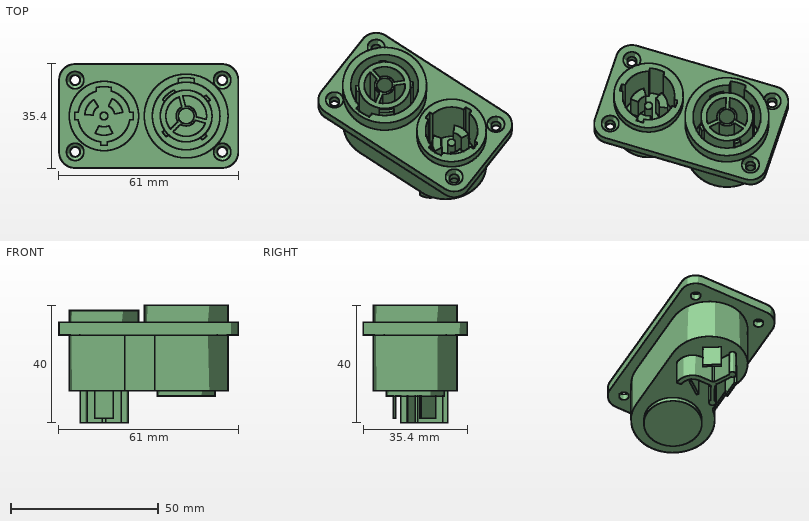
import cadquery as cq
import math

PLATE_LENGTH = 61.0
PLATE_WIDTH = 35.4
PLATE_THICKNESS = 4.4
PLATE_CORNER_R = 5.5
SCREW_DIA = 3.3
SCREW_HEAD_DIA = 5.9
SCREW_HEAD_ANGLE = 90.0

RIGHT_COLLAR_TOP = 5.74
OVERALL_HEIGHT = 40.0
LEFT_COLLAR_TOP = 4.0
BODY_BOTTOM = -23.35
SOCKET_FLOOR = -19.0
STUB_BOTTOM = -25.2
BLADE_BOTTOM = -32.75
STAR_BOTTOM = RIGHT_COLLAR_TOP - OVERALL_HEIGHT

BODY_LENGTH = 54.0
BODY_WEB_DEPTH = 9.5

LEFT_R = 11.8
LEFT_X = LEFT_R - BODY_LENGTH / 2
LEFT_BORE_R = 8.85
LEFT_NOTCH_R = 10.0
LEFT_NOTCHES = ((0, 2.5), (90, 5.1), (180, 2.5), (270, 2.3))
CONTACT_ANGLES = (-90.0, 38.0, 148.6)
CONTACT_INNER_R = 3.7
CONTACT_OUTER_R = 6.53
CONTACT_SPAN = 54.0
CENTRE_POST_R = 1.32
CONTACT_TOP = -5.5

BLADE_INNER_R = 6.6
BLADE_THICKNESS = 0.8
BLADE_WIDTH = 6.3
STAR_HUB_R = 1.2
STAR_RIB_THICKNESS = 1.3
STAR_POST_R = 1.2
STAR_ARMS = ((208.5, 7.87), (332.0, 8.0))
HOOK_WALL = 1.7
HOOK_OUTER_R = 6.2
HOOK_STRAIGHT = 4.9

RIGHT_R = 14.25
RIGHT_X = BODY_LENGTH / 2 - RIGHT_R
RIGHT_BORE_R = 11.5
RIGHT_NOTCH_R = 13.0
RIGHT_NOTCH_ANGLE = 90.0
RIGHT_NOTCH_WIDTH = 5.4
RIGHT_NOTCH_FLOOR = -10.0
PLUG_R = 8.8
PLUG_INNER_R = 6.93
PLUG_HUB_R = 3.4
PLUG_HUB_BORE_R = 2.68
SPOKE_ANGLES = (105.0, 225.0, 345.0)
SPOKE_THICKNESS = 1.25
KEY_R = 9.75
KEY_TOP = 4.6
KEYS = ((40, 2.1), (130, 5.0), (220, 2.1), (310, 2.1))
STUB_R = 9.87


def cylinder(x, radius, z_low, z_high):
    """Upright cylinder on the X axis."""
    return cq.Workplane("XY", origin=(x, 0, z_low)).circle(radius).extrude(z_high - z_low)


def tube(x, outer_r, inner_r, z_low, z_high):
    """Upright tube on the X axis."""
    return cylinder(x, outer_r, z_low, z_high).cut(cylinder(x, inner_r, z_low, z_high))


def radial_bar(x, angle, r_start, r_end, width, z_low, z_high):
    """Straight bar pointing away from the axis at x, in the given direction."""
    bar = (
        cq.Workplane("XY", origin=(0, 0, z_low))
        .center((r_start + r_end) / 2, 0)
        .rect(r_end - r_start, width)
        .extrude(z_high - z_low)
    )
    return bar.rotate((0, 0, 0), (0, 0, 1), angle).translate((x, 0, 0))


def round_ended_bar(x, angle, r_end, width, z_low, z_high):
    """Radial bar whose outer end follows a circle about the axis at x."""
    bar = radial_bar(x, angle, 0, r_end + width, width, z_low, z_high)
    return bar.intersect(cylinder(x, r_end, z_low, z_high))


def polar(radius, angle):
    """Point at the given radius and direction in degrees."""
    a = math.radians(angle)
    return (radius * math.cos(a), radius * math.sin(a))


def make_plate():
    plate = (
        cq.Workplane("XY", origin=(0, 0, -PLATE_THICKNESS))
        .rect(PLATE_LENGTH, PLATE_WIDTH)
        .extrude(PLATE_THICKNESS)
        .edges("|Z")
        .fillet(PLATE_CORNER_R)
    )
    return (
        plate.faces(">Z")
        .workplane()
        .rect(PLATE_LENGTH - 2 * PLATE_CORNER_R, PLATE_WIDTH - 2 * PLATE_CORNER_R, forConstruction=True)
        .vertices()
        .cskHole(SCREW_DIA, SCREW_HEAD_DIA, SCREW_HEAD_ANGLE)
    )


def make_barrels():
    half_body = (
        cq.Workplane("XY", origin=(0, 0, BODY_BOTTOM))
        .moveTo(-BODY_LENGTH / 2, 0)
        .radiusArc((-RIGHT_X, RIGHT_R), RIGHT_R)
        .lineTo(RIGHT_X, RIGHT_R)
        .radiusArc((BODY_LENGTH / 2, 0), RIGHT_R)
        .close()
        .extrude(-PLATE_THICKNESS - BODY_BOTTOM)
    )
    web = (
        cq.Workplane("XY", origin=((LEFT_X + RIGHT_X) / 2, -BODY_WEB_DEPTH / 2, BODY_BOTTOM))
        .rect(RIGHT_X - LEFT_X, BODY_WEB_DEPTH)
        .extrude(-PLATE_THICKNESS - BODY_BOTTOM)
    )
    left = cylinder(LEFT_X, LEFT_R, BODY_BOTTOM, LEFT_COLLAR_TOP)
    right = cylinder(RIGHT_X, RIGHT_R, BODY_BOTTOM, RIGHT_COLLAR_TOP)
    stub = cylinder(RIGHT_X, STUB_R, STUB_BOTTOM, BODY_BOTTOM)
    return half_body.union(web).union(left).union(right).union(stub)


def make_left_cavity():
    cavity = cylinder(LEFT_X, LEFT_BORE_R, SOCKET_FLOOR, LEFT_COLLAR_TOP)
    for angle, width in LEFT_NOTCHES:
        notch = round_ended_bar(LEFT_X, angle, LEFT_NOTCH_R, width, SOCKET_FLOOR, LEFT_COLLAR_TOP)
        cavity = cavity.union(notch)
    return cavity


def make_contact(angle):
    """Ring-segment contact standing on the left socket floor."""
    start = angle - CONTACT_SPAN / 2
    end = angle + CONTACT_SPAN / 2
    return (
        cq.Workplane("XY", origin=(LEFT_X, 0, SOCKET_FLOOR))
        .moveTo(*polar(CONTACT_INNER_R, start))
        .lineTo(*polar(CONTACT_OUTER_R, start))
        .threePointArc(polar(CONTACT_OUTER_R, angle), polar(CONTACT_OUTER_R, end))
        .lineTo(*polar(CONTACT_INNER_R, end))
        .threePointArc(polar(CONTACT_INNER_R, angle), polar(CONTACT_INNER_R, start))
        .close()
        .extrude(CONTACT_TOP - SOCKET_FLOOR)
    )


def make_left_contacts():
    """Contacts inside the left socket and the solder blades below them."""
    contacts = cylinder(LEFT_X, CENTRE_POST_R, SOCKET_FLOOR, CONTACT_TOP)
    blade_outer_r = BLADE_INNER_R + BLADE_THICKNESS
    for angle in CONTACT_ANGLES:
        blade = radial_bar(
            LEFT_X, angle, BLADE_INNER_R, blade_outer_r, BLADE_WIDTH, BLADE_BOTTOM, BODY_BOTTOM
        )
        contacts = contacts.union(make_contact(angle)).union(blade)
    return contacts


def make_hook():
    """Wall running from the star hub toward +Y, then turning a quarter circle toward +X."""
    half_wall = HOOK_WALL / 2
    inner_r = HOOK_OUTER_R - HOOK_WALL
    bend_x = HOOK_OUTER_R - half_wall
    return (
        cq.Workplane("XY", origin=(LEFT_X, 0, STAR_BOTTOM))
        .moveTo(-half_wall, 0)
        .lineTo(-half_wall, HOOK_STRAIGHT)
        .radiusArc((bend_x, HOOK_STRAIGHT + HOOK_OUTER_R), HOOK_OUTER_R)
        .lineTo(bend_x, HOOK_STRAIGHT + inner_r)
        .radiusArc((half_wall, HOOK_STRAIGHT), -inner_r)
        .lineTo(half_wall, 0)
        .close()
        .extrude(BODY_BOTTOM - STAR_BOTTOM)
    )


def make_star():
    """Three-armed divider between the blades: two arms with end posts and one hooked wall."""
    star = cylinder(LEFT_X, STAR_HUB_R, STAR_BOTTOM, BODY_BOTTOM).union(make_hook())
    for angle, reach in STAR_ARMS:
        rib = radial_bar(LEFT_X, angle, 0, reach, STAR_RIB_THICKNESS, STAR_BOTTOM, BODY_BOTTOM)
        dx, dy = polar(reach, angle)
        post = cylinder(LEFT_X, STAR_POST_R, STAR_BOTTOM, BODY_BOTTOM).translate((dx, dy, 0))
        star = star.union(rib).union(post)
    return star


def make_right_cavity():
    bore = cylinder(RIGHT_X, RIGHT_BORE_R, SOCKET_FLOOR, RIGHT_COLLAR_TOP)
    notch = round_ended_bar(
        RIGHT_X,
        RIGHT_NOTCH_ANGLE,
        RIGHT_NOTCH_R,
        RIGHT_NOTCH_WIDTH,
        RIGHT_NOTCH_FLOOR,
        RIGHT_COLLAR_TOP,
    )
    return bore.union(notch)


def make_plug():
    """Ring, hub and spokes standing in the right socket, with keys on the ring."""
    ring = tube(RIGHT_X, PLUG_R, PLUG_INNER_R, SOCKET_FLOOR, RIGHT_COLLAR_TOP)
    hub = tube(RIGHT_X, PLUG_HUB_R, PLUG_HUB_BORE_R, SOCKET_FLOOR, RIGHT_COLLAR_TOP)
    plug = ring.union(hub)
    spoke_start = (PLUG_HUB_R + PLUG_HUB_BORE_R) / 2
    spoke_end = (PLUG_R + PLUG_INNER_R) / 2
    for angle in SPOKE_ANGLES:
        spoke = radial_bar(
            RIGHT_X, angle, spoke_start, spoke_end, SPOKE_THICKNESS, SOCKET_FLOOR, RIGHT_COLLAR_TOP
        )
        plug = plug.union(spoke)
    for angle, width in KEYS:
        key = round_ended_bar(RIGHT_X, angle, KEY_R, width, SOCKET_FLOOR, KEY_TOP)
        plug = plug.union(key.cut(cylinder(RIGHT_X, spoke_end, SOCKET_FLOOR, KEY_TOP)))
    return plug


housing = make_plate().union(make_barrels())
housing = housing.cut(make_left_cavity()).cut(make_right_cavity())
part = housing.union(make_left_contacts()).union(make_star()).union(make_plug())
result = part.solids()